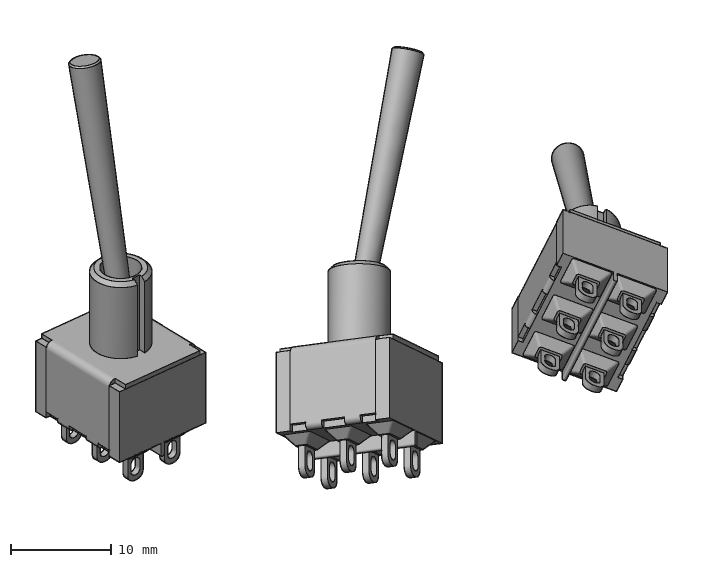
import cadquery as cq


base_length = 12.77
base_width = 11.4
plate_top = 8.85
sheet_thickness = 0.52
base_top = plate_top - sheet_thickness

flange_length = 9.62
flange_bottom = 0.7
bend_radius = 0.8
plate_width = base_width - 2 * bend_radius
core_width = base_width - 2 * sheet_thickness
tab_length = 1.8
tab_spacing = 4.37
tab_bend_radius = 0.52

bushing_diameter = 6.25
bushing_top = 17.63
bushing_chamfer = 0.45
bore_diameter = 4.2
keyway_width = 0.95
keyway_floor = 2.3

lever_tilt = 12.2
pivot_height = 13.85
lever_reach = 26.1
lever_root_diameter = 2.3
lever_tip_diameter = 3.3
lever_tip_chamfer = 0.17

terminal_pitch_x = 4.7
terminal_pitch_y = 4.85
terminal_thickness = 0.75
terminal_width = 2.05
terminal_bottom = -4.02
terminal_corner_radius = 0.9
slot_width = 1.2
slot_top = -1.4
slot_bottom = -3.4

collar_length = 3.15
collar_width = 4.37
collar_tip_length = 1.3
collar_tip_width = 2.55
collar_height = 1.0
collar_edge_radius = 0.35

rib_thickness = 0.45
rib_depth = 1.57
rib_edge_radius = 0.195


def block(length, width, bottom, top):
    """Box centred on the Z axis between two heights."""
    return cq.Workplane().workplane(offset=bottom).rect(length, width).extrude(top - bottom)


def post(diameter, bottom, top):
    """Cylinder on the Z axis between two heights."""
    return cq.Workplane().workplane(offset=bottom).circle(diameter / 2).extrude(top - bottom)


def make_flanges():
    flanges = (
        block(flange_length, base_width, flange_bottom, plate_top)
        .faces(">Z").edges("|X").fillet(bend_radius)
    )
    tab_pair = (
        block(tab_length, base_width, 0, flange_bottom)
        .faces("<Z").edges("|X").fillet(tab_bend_radius)
    )
    for x in (-tab_spacing / 2, tab_spacing / 2):
        flanges = flanges.union(tab_pair.translate((x, 0, 0)))
    return flanges.cut(block(base_length, core_width, 0, base_top))


def make_bushing():
    bushing = post(bushing_diameter, base_top, bushing_top).faces(">Z").chamfer(bushing_chamfer)
    keyway_length = bushing_diameter / 2 - keyway_floor
    keyway = (
        block(keyway_length, keyway_width, plate_top, bushing_top)
        .translate((keyway_floor + keyway_length / 2, 0, 0))
    )
    bore = post(bore_diameter, pivot_height, bushing_top)
    return bushing.cut(keyway).cut(bore)


def make_lever():
    rod = (
        cq.Workplane().circle(lever_root_diameter / 2)
        .workplane(offset=lever_reach).circle(lever_tip_diameter / 2).loft()
        .faces(">Z").chamfer(lever_tip_chamfer)
        .rotate((0, 0, 0), (0, 1, 0), -lever_tilt)
    )
    upper_half = block(bore_diameter, bore_diameter, 0, bore_diameter)
    dome = cq.Workplane().sphere(bore_diameter / 2).intersect(upper_half)
    return rod.union(dome).translate((0, 0, pivot_height))


def make_frame():
    """Top plate, flanges, bushing and lever as one solid."""
    plate = block(base_length, plate_width, base_top, plate_top)
    return plate.union(make_flanges()).union(make_bushing()).union(make_lever())


def make_terminal():
    blade = (
        block(terminal_thickness, terminal_width, terminal_bottom, 0)
        .faces("<Z").edges("|X").fillet(terminal_corner_radius)
    )
    slot = (
        cq.Workplane("YZ")
        .center(0, (slot_top + slot_bottom) / 2)
        .slot2D(slot_top - slot_bottom, slot_width, 90)
        .extrude(terminal_thickness, both=True)
    )
    collar = (
        cq.Workplane()
        .rect(collar_length, collar_width)
        .workplane(offset=-collar_height)
        .rect(collar_tip_length, collar_tip_width)
        .loft()
        .edges("not #Z").fillet(collar_edge_radius)
    )
    return blade.cut(slot).union(collar)


def make_rib():
    return (
        block(base_length, rib_thickness, -rib_depth, 0)
        .faces("<Z").edges("|X").fillet(rib_edge_radius)
    )


def make_base():
    """Base block with a recess for each flange, the barrier rib and the terminals."""
    core = block(base_length, core_width, 0, base_top)
    flange_recesses = block(flange_length, base_width, 0, base_top).cut(core)
    base = block(base_length, base_width, 0, base_top).cut(flange_recesses).union(make_rib())
    terminal = make_terminal()
    for x in (-terminal_pitch_x, 0, terminal_pitch_x):
        for y in (-terminal_pitch_y / 2, terminal_pitch_y / 2):
            base = base.union(terminal.translate((x, y, 0)))
    return base


frame = make_frame()
base = make_base()
result = cq.Compound.makeCompound([frame.solids().val(), base.solids().val()])